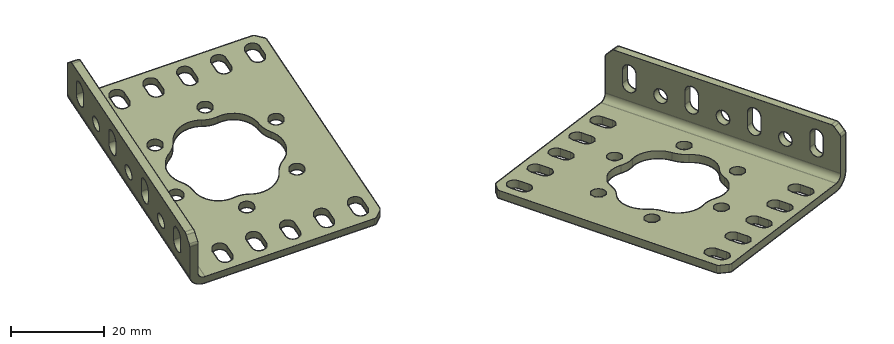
import cadquery as cq
import math

width = 60.4
depth = 46.0
height = 15.0
thickness = 2.0
inner_bend_radius = 1.65
outer_bend_radius = inner_bend_radius + thickness

corner_cut = 2.0
corner_rounding = 1.0

pitch = 8.0
hole_diameter = 3.45
hole_radius = hole_diameter / 2

base_slot_length = 6.0
base_slot_x = 25.35
base_slot_first_y = 10.0
base_slot_count = 5

flange_slot_length = 6.75
flange_slot_count = 4
flange_hole_z = height / 2
flange_slot_z = flange_hole_z - hole_radius + flange_slot_length / 2

motor_center_y = depth / 2
lobe_count = 6
lobe_step = 360 / lobe_count
lobe_center_radius = 7.05
lobe_radius = 6.15
waist_radius = 6.5
motor_hole_circle_radius = 15.5
first_hole_angle = -9.0


def polar(radius, angle):
    """Point at a radius and an angle in degrees."""
    return (radius * math.cos(math.radians(angle)), radius * math.sin(math.radians(angle)))


def bent_sheet():
    """L-shaped profile with a rounded bend, extruded across the width."""
    profile = (
        cq.Workplane("YZ")
        .moveTo(depth, 0)
        .lineTo(outer_bend_radius, 0)
        .radiusArc((0, outer_bend_radius), outer_bend_radius)
        .lineTo(0, height)
        .lineTo(thickness, height)
        .lineTo(thickness, outer_bend_radius)
        .radiusArc((outer_bend_radius, thickness), -inner_bend_radius)
        .lineTo(depth, thickness)
        .close()
    )
    return profile.extrude(width / 2, both=True)


def motor_opening():
    """Six-lobed cutter: outward lobe arcs joined smoothly by inward waist arcs."""
    half_step = math.radians(lobe_step / 2)
    center_distance = lobe_radius + waist_radius
    waist_center_radius = lobe_center_radius * math.cos(half_step) + math.sqrt(
        center_distance**2 - (lobe_center_radius * math.sin(half_step)) ** 2
    )
    waist_x, waist_y = polar(waist_center_radius, lobe_step / 2)
    share = lobe_radius / center_distance
    joint_x = lobe_center_radius + share * (waist_x - lobe_center_radius)
    joint_y = share * waist_y
    joint_radius = math.hypot(joint_x, joint_y)
    joint_angle = math.degrees(math.atan2(joint_y, joint_x))

    first_lobe_angle = first_hole_angle + lobe_step / 2
    outline = cq.Workplane("XY").center(0, motor_center_y)
    outline = outline.moveTo(*polar(joint_radius, first_lobe_angle - joint_angle))
    for lobe in range(lobe_count):
        lobe_angle = first_lobe_angle + lobe * lobe_step
        outline = outline.threePointArc(
            polar(lobe_center_radius + lobe_radius, lobe_angle),
            polar(joint_radius, lobe_angle + joint_angle),
        )
        outline = outline.threePointArc(
            polar(waist_center_radius - waist_radius, lobe_angle + lobe_step / 2),
            polar(joint_radius, lobe_angle + lobe_step - joint_angle),
        )
    return outline.close().extrude(thickness)


def motor_holes():
    """Screw holes on a circle around the motor opening."""
    points = [
        polar(motor_hole_circle_radius, first_hole_angle + i * lobe_step)
        for i in range(lobe_count)
    ]
    return (
        cq.Workplane("XY")
        .center(0, motor_center_y)
        .pushPoints(points)
        .circle(hole_radius)
        .extrude(thickness)
    )


def base_slots():
    """A column of slots along each side of the base."""
    points = [
        (side * base_slot_x, base_slot_first_y + i * pitch)
        for side in (-1, 1)
        for i in range(base_slot_count)
    ]
    return (
        cq.Workplane("XY")
        .pushPoints(points)
        .slot2D(base_slot_length, hole_diameter)
        .extrude(thickness)
    )


def flange_row():
    """Upright slots two pitches apart, with a round hole midway between neighbors."""
    first_x = -(flange_slot_count - 1) * pitch
    slot_points = [(first_x + 2 * i * pitch, flange_slot_z) for i in range(flange_slot_count)]
    hole_points = [
        (first_x + (2 * i + 1) * pitch, flange_hole_z) for i in range(flange_slot_count - 1)
    ]
    slots = (
        cq.Workplane("XZ")
        .pushPoints(slot_points)
        .slot2D(flange_slot_length, hole_diameter, 90)
        .extrude(-thickness)
    )
    holes = cq.Workplane("XZ").pushPoints(hole_points).circle(hole_radius).extrude(-thickness)
    return slots.union(holes)


def leg_envelope(through_axis, free_side):
    """Bounding block whose two corners at the free end of one leg are cut and rounded."""
    block = cq.Workplane("XY").box(width, depth, height, centered=(True, False, False))
    block = block.edges(f"|{through_axis} and >{free_side}").chamfer(corner_cut)
    return block.edges(f"|{through_axis} and (not <{free_side})").fillet(corner_rounding)


base_envelope = leg_envelope("Z", "Y")
flange_envelope = leg_envelope("Y", "Z")

result = bent_sheet().intersect(base_envelope).intersect(flange_envelope)
result = result.cut(motor_opening()).cut(motor_holes()).cut(base_slots()).cut(flange_row())